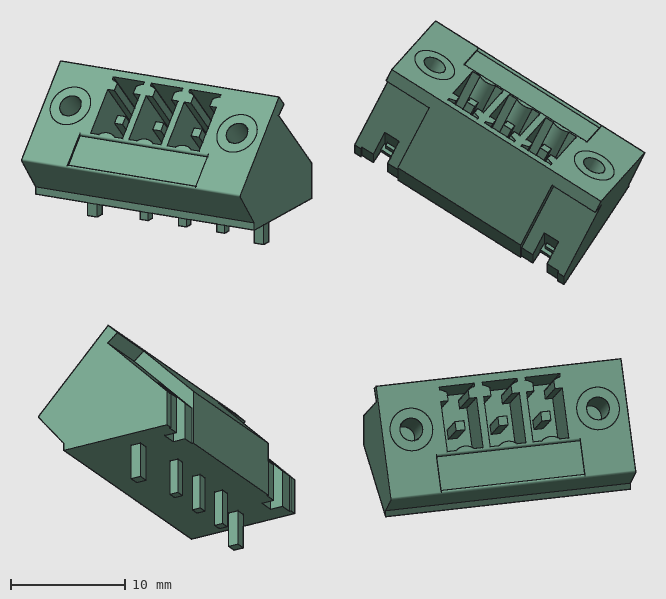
import cadquery as cq
import math


length = 21.82
depth = 13.1
height = 14.2
seat_z = 3.2
foot_y = 2.55
foot_top_z = 3.88
apex_y = 7.1
lip_radius = 0.185
underside_angle = 50.0
face_angle = 45.0

half_corner = math.radians((face_angle + underside_angle) / 2)
corner_tilt = math.radians((underside_angle - face_angle) / 2)
corner_y = lip_radius - lip_radius * math.cos(corner_tilt) / math.sin(half_corner)
corner_z = height - apex_y + corner_y
back_top_z = height - (depth - apex_y)
lip_centre = lip_radius / math.tan(half_corner)

pitch = 3.82
pole_xs = [-pitch, 0.0, pitch]
flange_offset = 8.31
flange_xs = [-flange_offset, flange_offset]
axis_up = 5.98
centre_width = 12.8
recess_top = 3.53
recess_depth = lip_radius

socket_depth = 6.55
socket_bottom = 3.69
shoulder_up = 8.14
neck_top = 8.88
head_side = 9.19
head_top = 9.43
socket_half = 1.6
neck_half = 0.94
head_half = 1.55
flare_bulge = 0.02
bump_half = 0.8
bump_height = 0.3

shoulder_edge = (8.03, 13.27)
shoulder_root = (7.05, 12.5)
end_wall = 0.65
back_relief = 0.15
slot_width = 1.48
slot_front_y = 11.08
ledge_back_y = 11.75
ledge_z = 4.01

contact_size = 0.8
contact_tip_depth = 1.2
contact_tail_y = 9.8
insert_diameter = 3.77
insert_bore = 2.0
insert_length = 5.45
anchor_size = 0.95
anchor_tail_y = 8.65
anchor_end_y = 11.4

face_plane = cq.Plane(origin=(0, corner_y, corner_z), xDir=(1, 0, 0), normal=(0, -1, 1))
section_plane = cq.Plane(origin=(0, corner_y, corner_z), xDir=(0, 1, 1), normal=(-1, 0, 0))


def x_prism(points, x_middle, width):
    """Prism of a (Y, Z) outline, centred on x_middle."""
    start = cq.Workplane("YZ", origin=(x_middle, 0, 0))
    return start.polyline(points).close().extrude(width / 2, both=True)


def box_between(low, high):
    """Box between two opposite corners."""
    size = [b - a for a, b in zip(low, high)]
    return cq.Workplane().box(*size, centered=False).translate(low)


def make_blank():
    """Housing outline with its rounded front edge."""
    slope = math.sqrt(0.5)
    overhang = math.radians(underside_angle)
    axis_y = corner_y + (lip_centre + lip_radius) * slope
    axis_z = corner_z + (lip_centre - lip_radius) * slope
    face_start = (corner_y + lip_centre * slope, corner_z + lip_centre * slope)
    underside_start = (
        corner_y + lip_centre * math.cos(overhang),
        corner_z - lip_centre * math.sin(overhang),
    )
    lip_front = (axis_y - lip_radius, axis_z)
    return (
        cq.Workplane("YZ")
        .moveTo(foot_y, seat_z)
        .lineTo(depth, seat_z)
        .lineTo(depth, back_top_z)
        .lineTo(apex_y, height)
        .lineTo(*face_start)
        .threePointArc(lip_front, underside_start)
        .lineTo(foot_y, foot_top_z)
        .close()
        .extrude(length / 2, both=True)
    )


def make_face_recess():
    """Shallow recess below the sockets; its lower and upper rims are convex arcs of the lip radius."""
    rim_angle = math.acos(1 - recess_depth / lip_radius)
    rim_run = lip_radius * math.sin(rim_angle)
    mid_run = lip_radius * math.sin(rim_angle / 2)
    mid_depth = lip_radius * (1 - math.cos(rim_angle / 2))
    return (
        cq.Workplane(section_plane)
        .moveTo(lip_centre, 0)
        .threePointArc((lip_centre + mid_run, mid_depth), (lip_centre + rim_run, recess_depth))
        .lineTo(recess_top - rim_run, recess_depth)
        .threePointArc((recess_top - mid_run, mid_depth), (recess_top, 0))
        .close()
        .extrude(centre_width / 2, both=True)
    )


def make_socket(x):
    """Plug socket with a narrow neck, a flared head and a rounded key rib along its lower wall."""
    flare_x = (neck_half + head_half) / 2 - flare_bulge / 2
    flare_up = (neck_top + head_side) / 2 + flare_bulge
    return (
        cq.Workplane(face_plane)
        .center(x, 0)
        .moveTo(-socket_half, socket_bottom)
        .lineTo(-bump_half, socket_bottom)
        .threePointArc((0, socket_bottom + bump_height), (bump_half, socket_bottom))
        .lineTo(socket_half, socket_bottom)
        .lineTo(socket_half, shoulder_up)
        .lineTo(neck_half, shoulder_up)
        .lineTo(neck_half, neck_top)
        .threePointArc((flare_x, flare_up), (head_half, head_side))
        .lineTo(head_half, head_top)
        .lineTo(-head_half, head_top)
        .lineTo(-head_half, head_side)
        .threePointArc((-flare_x, flare_up), (-neck_half, neck_top))
        .lineTo(-neck_half, shoulder_up)
        .lineTo(-socket_half, shoulder_up)
        .close()
        .extrude(-socket_depth)
    )


def make_back_cut(side):
    """Lowered roof shoulder, back relief and anchor slot at one end (side is -1 or 1)."""
    shoulder_width = (length - centre_width) / 2
    shoulder_x = side * (length - shoulder_width) / 2
    root_y, root_z = shoulder_root
    shoulder = x_prism(
        [
            shoulder_root,
            shoulder_edge,
            (shoulder_edge[0], height),
            (depth, height),
            (depth, root_z - (depth - root_y)),
        ],
        shoulder_x,
        shoulder_width,
    )
    relief_xs = sorted([side * centre_width / 2, side * (length / 2 - end_wall)])
    relief = box_between((relief_xs[0], depth - back_relief, seat_z), (relief_xs[1], depth, height))
    slot = x_prism(
        [
            (slot_front_y, ledge_z),
            (ledge_back_y, ledge_z),
            (ledge_back_y, seat_z),
            (depth, seat_z),
            (depth, height),
            (slot_front_y, height),
        ],
        side * flange_offset,
        slot_width,
    )
    return [shoulder, relief, slot]


def make_insert_blank(x):
    """Solid cylinder that fills an insert's seat in the housing."""
    return cq.Workplane(face_plane).center(x, axis_up).circle(insert_diameter / 2).extrude(-insert_length)


def make_insert(x):
    """Threaded insert, flush with the mating face."""
    bore = cq.Workplane(face_plane).center(x, axis_up).circle(insert_bore / 2).extrude(-insert_length)
    return make_insert_blank(x).cut(bore)


def make_contact(x):
    """Square contact: a sloping leg in the socket, bent into a vertical tail."""
    half = contact_size / 2
    slope = math.sqrt(0.5)
    axis_sum = corner_y + corner_z + axis_up / slope
    tip_difference = corner_z - corner_y - contact_tip_depth / slope
    tip_y = (axis_sum - tip_difference) / 2
    tip_z = (axis_sum + tip_difference) / 2
    side_step = half * slope
    front_y = contact_tail_y - half
    back_y = contact_tail_y + half
    outline = [
        (front_y, 0),
        (back_y, 0),
        (back_y, axis_sum + half / slope - back_y),
        (tip_y + side_step, tip_z + side_step),
        (tip_y - side_step, tip_z - side_step),
        (front_y, axis_sum - half / slope - front_y),
    ]
    return x_prism(outline, x, contact_size)


def make_anchor(x):
    """Square solder anchor: a vertical tail bent back onto the ledge of the slot."""
    front_y = anchor_tail_y - anchor_size / 2
    back_y = anchor_tail_y + anchor_size / 2
    outline = [
        (front_y, 0),
        (back_y, 0),
        (back_y, ledge_z),
        (anchor_end_y, ledge_z),
        (anchor_end_y, ledge_z + anchor_size),
        (front_y, ledge_z + anchor_size),
    ]
    return x_prism(outline, x, anchor_size)


contacts = [make_contact(x) for x in pole_xs]
inserts = [make_insert(x) for x in flange_xs]
anchors = [make_anchor(x) for x in flange_xs]

housing = make_blank().cut(make_face_recess())
for x in pole_xs:
    housing = housing.cut(make_socket(x))
for side in (-1, 1):
    for cutter in make_back_cut(side):
        housing = housing.cut(cutter)
for x in flange_xs:
    housing = housing.cut(make_insert_blank(x))
for metal_part in contacts + anchors:
    housing = housing.cut(metal_part)

bodies = [housing, *contacts, *inserts, *anchors]
result = cq.Compound.makeCompound([solid for body in bodies for solid in body.solids().vals()])